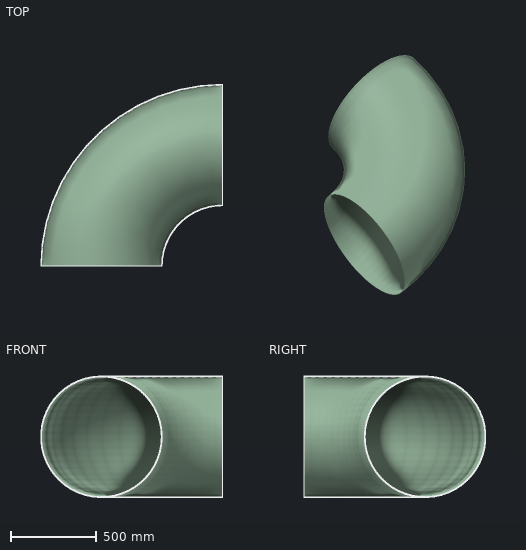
import cadquery as cq

outer_reach = 1067.0
outer_diameter = 711.0
wall = 4.0
bend_angle = 90.0

outer_radius = outer_diameter / 2
inner_radius = outer_radius - wall
bend_radius = outer_reach - outer_radius

pipe_section = (
    cq.Workplane("XZ")
    .center(-bend_radius, 0)
    .circle(outer_radius)
    .circle(inner_radius)
)

axis_start = (bend_radius, 0)
axis_end = (bend_radius, -1)
result = pipe_section.revolve(bend_angle, axis_start, axis_end)